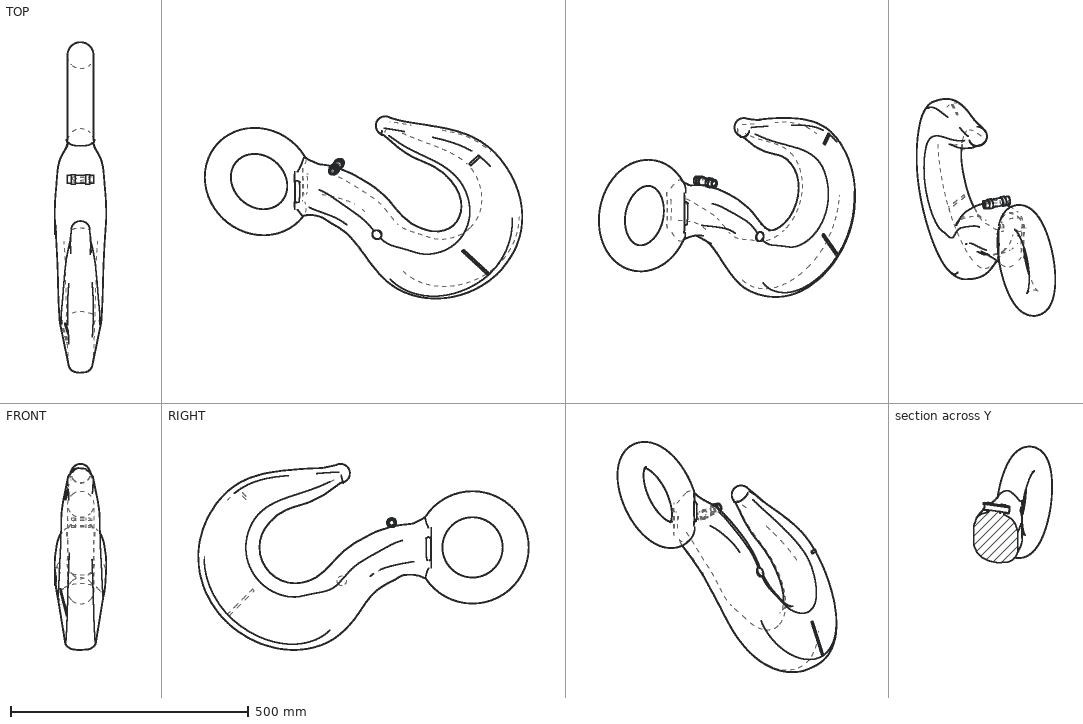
import cadquery as cq
import math


EYE_OUTER_RADIUS = 118.6
EYE_TUBE_RADIUS = 27.7
EYE_CENTRE_Y = 373.0

BOWL_RADIUS = 75.5
BOWL_INNER_ROUNDING = 29.0
BOWL_OUTER_ROUNDING = 12.5
TIP_RADIUS = 20.0
TIP_Y = 95.0
TIP_Z = 156.05

PIN_Y = 202.6
PIN_Z = 52.0
PIN_LENGTH = 56.0
PIN_BODY_RADIUS = 8.5
PIN_COLLAR_RADIUS = 10.0
PIN_COLLAR_WIDTH = 8.0
PIN_COLLAR_OFFSET = 15.0
PIN_BORE_RADIUS = 5.5

BOSS_RADIUS = 10.0
BOSS_Y = 97.0
BOSS_Z = -70.0
BOSS_FACE_X = -54.56

RIB_WIDTH = 5.0
RIB_HEIGHT = 1.5
LOWER_RIB_DEGREES = -45
LOWER_RIB_START = 126.0
UPPER_RIB_DEGREES = 45
UPPER_RIB_START = 144.0


def on_bowl(radius, degrees):
    """Point (y, z) about the bowl centre; 0 degrees is the crown at -Y, 90 is +Z."""
    angle = math.radians(degrees)
    return (-radius * math.cos(angle), radius * math.sin(angle))


def bowl_station(
    degrees, outer_radius, inner_width, outer_width, outer_depth=BOWL_OUTER_ROUNDING
):
    """Bowl section: deep rounding on the inside, tight rounding on the outside."""
    inner = on_bowl(BOWL_RADIUS, degrees)
    outer = on_bowl(outer_radius, degrees)
    return (inner, outer, BOWL_INNER_ROUNDING, inner_width, outer_depth, outer_width)


LOWER_RIB_STATION = bowl_station(LOWER_RIB_DEGREES, 213.7, 45.5, 28.0)
UPPER_RIB_STATION = bowl_station(UPPER_RIB_DEGREES, 182.7, 40.0, 25.5)

STATIONS = [
    ((286.0, 70.0), (286.0, -67.0), 52.0, 28.4, 42.0, 28.4),
    ((267.0, 60.0), (267.0, -63.0), 43.0, 31.0, 36.0, 31.0),
    ((248.0, 50.5), (248.0, -58.0), 35.0, 42.0, 28.0, 42.0),
    ((231.0, 48.5), (231.0, -58.0), 33.0, 47.0, 25.0, 47.0),
    ((191.0, 41.0), (210.0, -68.0), 38.0, 50.5, 30.0, 50.0),
    ((147.0, 22.0), (176.5, -87.0), 42.0, 53.8, 35.0, 52.0),
    ((103.0, -6.5), (147.0, -118.5), 42.0, 54.3, 35.0, 49.0),
    ((61.0, -49.5), (127.0, -148.0), 40.0, 52.0, 36.0, 44.0),
    bowl_station(-112, 209.6, 49.5, 35.5, outer_depth=20.0),
    bowl_station(-90, 216.3, 48.0, 32.0),
    bowl_station(-67, 215.5, 47.0, 30.0),
    LOWER_RIB_STATION,
    bowl_station(-22, 210.5, 44.0, 26.0),
    bowl_station(0, 203.9, 42.0, 23.5),
    bowl_station(22, 193.8, 41.0, 23.5),
    UPPER_RIB_STATION,
    ((-38.0, 68.0), (-92.5, 148.0), 26.0, 38.0, 12.0, 27.0),
    ((4.0, 87.0), (-17.0, 163.0), 24.0, 34.0, 12.0, 24.5),
    ((61.0, 111.0), (42.0, 167.0), 20.0, 26.0, 12.0, 20.5),
    ((100.5, 135.5), (90.0, 175.0), 19.0, 19.5, 17.5, 19.0),
]


def section_wire(station):
    """Closed section: two flat flanks joined by a rounded nose at each edge."""
    inner_yz, outer_yz, inner_depth, inner_width, outer_depth, outer_width = station
    inner = cq.Vector(0, *inner_yz)
    outer = cq.Vector(0, *outer_yz)
    across = cq.Vector(1, 0, 0)
    outward = (outer - inner).normalized()

    def nose(edge, direction, depth, width):
        points = []
        for degrees in range(-90, 91, 45):
            angle = math.radians(degrees)
            inset = direction * (depth * (1 - math.cos(angle)))
            points.append(edge + inset + across * (width * math.sin(angle)))
        return points

    inner_nose = nose(inner, outward, inner_depth, inner_width)
    outer_nose = nose(outer, outward * -1, outer_depth, outer_width)
    outer_nose.reverse()
    return cq.Wire.assembleEdges([
        cq.Edge.makeSpline(inner_nose),
        cq.Edge.makeLine(inner_nose[-1], outer_nose[0]),
        cq.Edge.makeSpline(outer_nose),
        cq.Edge.makeLine(outer_nose[-1], inner_nose[0]),
    ])


def hook_body():
    body = cq.Solid.makeLoft([section_wire(station) for station in STATIONS])
    tip = cq.Workplane("XY").sphere(TIP_RADIUS).translate((0, TIP_Y, TIP_Z))
    return cq.Workplane("XY").add(body).union(tip)


def eye_ring():
    ring_radius = EYE_OUTER_RADIUS - EYE_TUBE_RADIUS
    centre = cq.Vector(0, EYE_CENTRE_Y, 0)
    ring = cq.Solid.makeTorus(ring_radius, EYE_TUBE_RADIUS, centre, cq.Vector(1, 0, 0))
    return cq.Workplane("XY").add(ring)


def x_cylinder(radius, length, x, y, z):
    """Cylinder along X, centred on the given point."""
    start = cq.Vector(x - length / 2, y, z)
    cylinder = cq.Solid.makeCylinder(radius, length, start, cq.Vector(1, 0, 0))
    return cq.Workplane("XY").add(cylinder)


def latch_pin():
    pin = x_cylinder(PIN_BODY_RADIUS, PIN_LENGTH, 0, PIN_Y, PIN_Z)
    for side in (-1, 1):
        x = side * PIN_COLLAR_OFFSET
        pin = pin.union(x_cylinder(PIN_COLLAR_RADIUS, PIN_COLLAR_WIDTH, x, PIN_Y, PIN_Z))
    return pin.cut(x_cylinder(PIN_BORE_RADIUS, PIN_LENGTH, 0, PIN_Y, PIN_Z))


def shank_boss():
    length = -BOSS_FACE_X
    return x_cylinder(BOSS_RADIUS, length, BOSS_FACE_X / 2, BOSS_Y, BOSS_Z)


def gauge_rib(station, degrees, start_radius):
    """Thin radial rib standing proud of the sloping bowl flank at a bowl station."""
    outer_yz, inner_depth, inner_width, outer_depth, outer_width = station[1:]
    flank_start = BOWL_RADIUS + inner_depth
    flank_end = math.hypot(*outer_yz) - outer_depth
    slope = (outer_width - inner_width) / (flank_end - flank_start)
    start_width = inner_width + slope * (start_radius - flank_start)
    rib = (
        cq.Workplane("XY")
        .polyline([
            (0, -start_radius),
            (-start_width - RIB_HEIGHT, -start_radius),
            (-outer_width - RIB_HEIGHT, -flank_end),
            (0, -flank_end),
        ])
        .close()
        .extrude(RIB_WIDTH / 2, both=True)
    )
    return rib.rotate((0, 0, 0), (1, 0, 0), -degrees)


hook = (
    hook_body()
    .union(eye_ring())
    .union(latch_pin())
    .union(shank_boss())
    .union(gauge_rib(LOWER_RIB_STATION, LOWER_RIB_DEGREES, LOWER_RIB_START))
    .union(gauge_rib(UPPER_RIB_STATION, UPPER_RIB_DEGREES, UPPER_RIB_START))
)
result = cq.Workplane("XY").add(hook.solids().val())